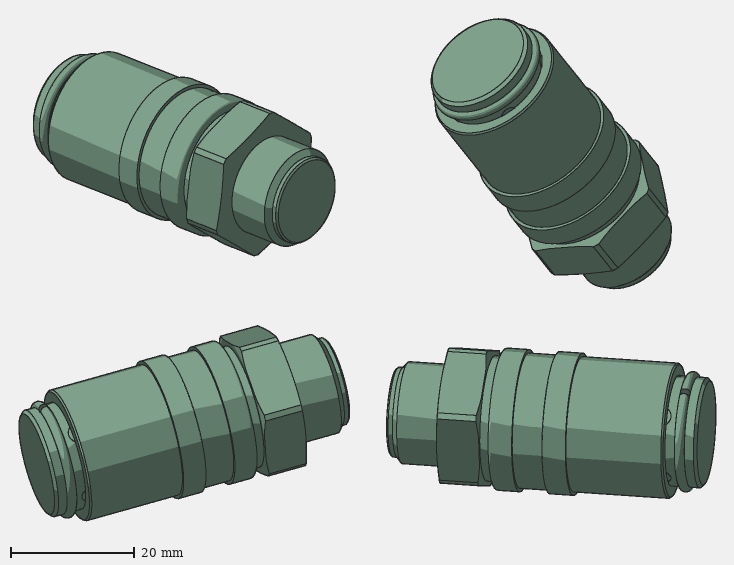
import cadquery as cq
import math


plug_radius = 18.0 / 2
plug_chamfer = 0.5

ring_wire_radius = 1.6 / 2
groove_radius = 16.45 / 2
groove_width = 1.65
ring_center_x = 2.85
ring_pitch_radius = groove_radius + ring_wire_radius
ring_gap_angle = 6.2
ring_gap_position = 26.5

sleeve_start_x = 5.2
sleeve_front_radius = 21.6 / 2
sleeve_radius = 22.1 / 2
sleeve_chamfer_length = 0.3
band_radius = 23.2 / 2
front_band_start_x = 21.2
front_band_end_x = 25.1
rear_band_start_x = 30.1
rear_band_end_x = 34.05
rear_band_fillet = 0.45

neck_radius = 20.5 / 2
hex_start_x = 35.6
hex_end_x = 42.7
hex_across_flats = 22.0
hex_across_corners = 2 * hex_across_flats / math.sqrt(3)
hex_corner_radius = 24.8 / 2
hex_turn = 9.0
hex_chamfer_length = 0.35
hex_front_face_radius = 11.3
hex_rear_face_radius = 10.5

stud_radius = 16.65 / 2
stud_end_x = 49.7
tip_start_x = 50.55
tip_radius = 14.7 / 2
tip_chamfer = 0.3
total_length = 51.6

pin_count = 5
pin_radius = 1.6
pin_center_x = 6.15
pin_top_radius = plug_radius
pin_length = 1.55


def revolve_about_x(profile_points):
    """Solid of revolution about X from (x, radius) points; the axis closes the profile."""
    profile = cq.Workplane("XY").polyline(profile_points).close()
    return profile.revolve(360, (0, 0, 0), (1, 0, 0))


def make_turned_body():
    groove_start_x = ring_center_x - groove_width / 2
    groove_end_x = ring_center_x + groove_width / 2
    return revolve_about_x([
        (0, 0),
        (0, plug_radius - plug_chamfer),
        (plug_chamfer, plug_radius),
        (groove_start_x, plug_radius),
        (groove_start_x, groove_radius),
        (groove_end_x, groove_radius),
        (groove_end_x, plug_radius),
        (sleeve_start_x, plug_radius),
        (sleeve_start_x, sleeve_front_radius),
        (sleeve_start_x + sleeve_chamfer_length, sleeve_radius),
        (front_band_start_x, sleeve_radius),
        (front_band_start_x, band_radius),
        (front_band_end_x, band_radius),
        (front_band_end_x, sleeve_radius),
        (rear_band_start_x, sleeve_radius),
        (rear_band_start_x, neck_radius),
        (hex_end_x, neck_radius),
        (hex_end_x, stud_radius),
        (stud_end_x, stud_radius),
        (tip_start_x, tip_radius),
        (total_length - tip_chamfer, tip_radius),
        (total_length, tip_radius - tip_chamfer),
        (total_length, 0),
    ])


def make_rear_band():
    """Raised band whose rim is rounded on the hexagon side."""
    return (
        cq.Workplane("YZ", origin=(rear_band_start_x, 0, 0))
        .circle(band_radius)
        .extrude(rear_band_end_x - rear_band_start_x)
        .edges(">X")
        .fillet(rear_band_fillet)
    )


def make_hexagon():
    """Hexagonal prism whose corners are turned round and chamfered at both ends."""
    prism = (
        cq.Workplane("YZ", origin=(hex_start_x, 0, 0))
        .polygon(6, hex_across_corners)
        .extrude(hex_end_x - hex_start_x)
        .rotate((0, 0, 0), (1, 0, 0), 90 - hex_turn)
    )
    envelope = revolve_about_x([
        (hex_start_x, 0),
        (hex_start_x, hex_front_face_radius),
        (hex_start_x + hex_chamfer_length, hex_corner_radius),
        (hex_end_x - hex_chamfer_length, hex_corner_radius),
        (hex_end_x, hex_rear_face_radius),
        (hex_end_x, 0),
    ])
    return prism.intersect(envelope)


def make_pin(turn):
    """Radial pin, turned about X from the -Y side."""
    pin = (
        cq.Workplane("XZ", origin=(0, -pin_top_radius, 0))
        .center(pin_center_x, 0)
        .circle(pin_radius)
        .extrude(-pin_length)
    )
    return pin.rotate((0, 0, 0), (1, 0, 0), turn)


def make_housing():
    housing = make_turned_body().union(make_rear_band()).union(make_hexagon())
    for index in range(pin_count):
        housing = housing.union(make_pin(index * 360 / pin_count))
    return housing


def make_snap_ring():
    """Round-wire ring with a gap between its two ends."""
    ring = (
        cq.Workplane("XY")
        .center(ring_center_x, ring_pitch_radius)
        .circle(ring_wire_radius)
        .revolve(360 - ring_gap_angle, (0, -ring_pitch_radius, 0), (1, -ring_pitch_radius, 0))
    )
    first_end = 90 - ring_gap_position + ring_gap_angle / 2
    return ring.rotate((0, 0, 0), (1, 0, 0), first_end)


housing = make_housing()
snap_ring = make_snap_ring()
result = cq.Compound.makeCompound([housing.val(), snap_ring.val()])